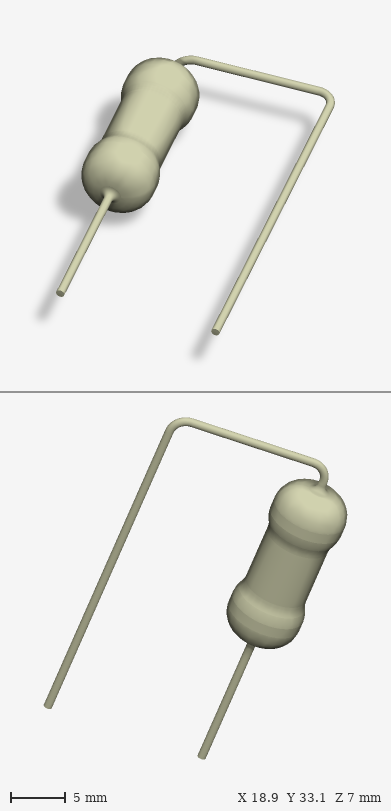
import cadquery as cq
import math

overall_length = 33.1
body_radius = 7.0 / 2
waist_radius = 5.95 / 2
wire_radius = 0.8 / 2
lead_pitch = 15.0
bend_radius = 1.6

body_start = 13.57
body_length = 16.55
neck_fillet = 0.65
end_rounding = 2.4
cap_land = 1.03
shoulder_length = 2.05

body_middle = body_start + body_length / 2
end_face_radius = body_radius - end_rounding
neck_outer_radius = wire_radius + neck_fillet
diagonal = math.sqrt(0.5)

land_start = body_start + end_rounding
land_end = land_start + cap_land
waist_start = land_end + shoulder_length

shoulder_depth = body_radius - waist_radius
half_angle = 2 * math.atan(shoulder_depth / shoulder_length)
shoulder_radius = shoulder_length / 2 / math.sin(half_angle)
mid_arc_drop = shoulder_radius * (1 - math.cos(half_angle / 2))
mid_arc_run = shoulder_radius * math.sin(half_angle / 2)


def make_half_body():
    """Revolve one cap and half of the waist, including its neck flare."""
    profile = (
        cq.Workplane("XY")
        .moveTo(0, body_start - neck_fillet)
        .lineTo(wire_radius, body_start - neck_fillet)
        .threePointArc(
            (neck_outer_radius - neck_fillet * diagonal, body_start - neck_fillet * (1 - diagonal)),
            (neck_outer_radius, body_start),
        )
        .lineTo(end_face_radius, body_start)
        .threePointArc(
            (end_face_radius + end_rounding * diagonal, land_start - end_rounding * diagonal),
            (body_radius, land_start),
        )
        .lineTo(body_radius, land_end)
        .threePointArc(
            (body_radius - mid_arc_drop, land_end + mid_arc_run),
            (body_radius - shoulder_depth / 2, land_end + shoulder_length / 2),
        )
        .threePointArc(
            (waist_radius + mid_arc_drop, waist_start - mid_arc_run),
            (waist_radius, waist_start),
        )
        .lineTo(waist_radius, body_middle)
        .lineTo(0, body_middle)
        .close()
    )
    return profile.revolve(360, (0, 0, 0), (0, 1, 0))


def make_body():
    half = make_half_body()
    other_half = half.mirror("XZ", (0, body_middle, 0))
    return half.union(other_half)


def make_straight_lead():
    """Lead from the free end into the middle of the body."""
    return cq.Workplane("XZ").circle(wire_radius).extrude(-body_middle)


def make_folded_lead():
    """Lead out of the far cap, across by the pitch and back to the free end."""
    crossing_y = overall_length - wire_radius
    bend_start = crossing_y - bend_radius
    arc_inset = bend_radius * (1 - diagonal)
    path = (
        cq.Workplane("XY")
        .moveTo(0, body_middle)
        .lineTo(0, bend_start)
        .threePointArc((arc_inset, crossing_y - arc_inset), (bend_radius, crossing_y))
        .lineTo(lead_pitch - bend_radius, crossing_y)
        .threePointArc((lead_pitch - arc_inset, crossing_y - arc_inset), (lead_pitch, bend_start))
        .lineTo(lead_pitch, 0)
    )
    return cq.Workplane("XZ", origin=(0, body_middle, 0)).circle(wire_radius).sweep(path)


result = make_body().union(make_straight_lead()).union(make_folded_lead())